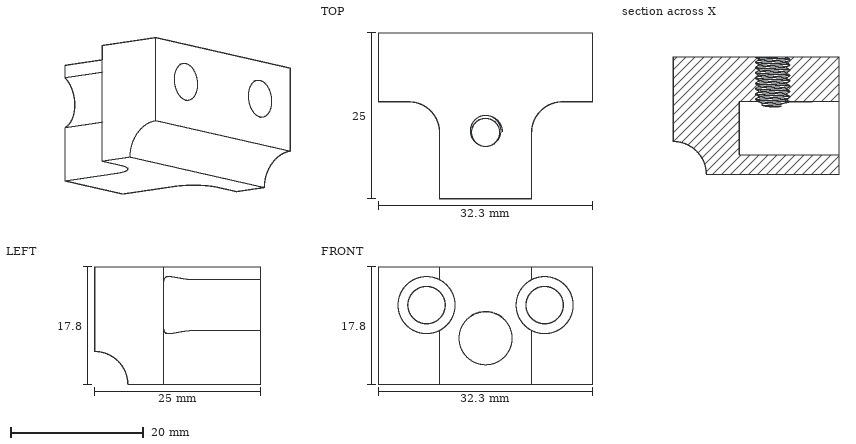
import cadquery as cq
import math


width = 32.3
depth = 25.0
height = 17.75
bar_depth = 10.4
stem_width = 13.9
stem_length = depth - bar_depth
corner_radius = 4.6

relief_radius = 5.0

hole_spacing = 17.8
hole_height = 12.0
hole_diameter = 5.6
head_diameter = 8.6
head_seat_thickness = 5.0
head_seat_y = depth - head_seat_thickness

bore_diameter = 8.0
bore_height = 7.0
bore_depth = 15.0

thread_y = 10.0
thread_minor_diameter = 4.23
thread_major_diameter = 5.12
thread_pitch = 0.8
thread_turns_below_top = 11
thread_turns_above_top = 1
thread_crest_width = thread_pitch / 4
flank_half_angle = 30.0
profile_overlap = 0.1


def make_block():
    """T-shaped block with concave quarter rounds where the stem meets the bar."""
    half_width = width / 2
    half_stem = stem_width / 2
    arc_start_y = stem_length - corner_radius
    arc_end_x = half_stem + corner_radius
    arc_mid_offset = corner_radius * (1 - math.sqrt(0.5))
    arc_mid_x = half_stem + arc_mid_offset
    arc_mid_y = stem_length - arc_mid_offset
    return (
        cq.Workplane("XY")
        .moveTo(-half_stem, 0)
        .lineTo(half_stem, 0)
        .lineTo(half_stem, arc_start_y)
        .threePointArc((arc_mid_x, arc_mid_y), (arc_end_x, stem_length))
        .lineTo(half_width, stem_length)
        .lineTo(half_width, depth)
        .lineTo(-half_width, depth)
        .lineTo(-half_width, stem_length)
        .lineTo(-arc_end_x, stem_length)
        .threePointArc((-arc_mid_x, arc_mid_y), (-half_stem, arc_start_y))
        .close()
        .extrude(height)
    )


def cylinder_along_y(diameter, length, x, z):
    """Cylinder that starts at the front plane and runs toward the back."""
    return cq.Workplane("XZ").center(x, z).circle(diameter / 2).extrude(-length)


def make_relief():
    """Cylinder along X, centred on the lower back edge."""
    return (
        cq.Workplane("YZ")
        .center(depth, 0)
        .circle(relief_radius)
        .extrude(width / 2, both=True)
    )


def make_thread_core():
    """Plain hole at the minor diameter, from the bore axis up through the top."""
    return (
        cq.Workplane("XY", origin=(0, thread_y, bore_height))
        .circle(thread_minor_diameter / 2)
        .extrude(height - bore_height)
    )


def make_thread_groove():
    """Right-hand helical groove whose centre meets the top face on the +Y side."""
    minor_radius = thread_minor_diameter / 2
    major_radius = thread_major_diameter / 2
    inner_radius = minor_radius - profile_overlap
    flank_slope = math.tan(math.radians(flank_half_angle))
    mouth_half = (thread_pitch - thread_crest_width) / 2
    root_half = mouth_half - (major_radius - minor_radius) * flank_slope
    inner_half = mouth_half + profile_overlap * flank_slope
    turns = thread_turns_below_top + thread_turns_above_top
    start_z = height - thread_turns_below_top * thread_pitch
    helix = cq.Wire.makeHelix(thread_pitch, turns * thread_pitch, minor_radius)
    groove = (
        cq.Workplane("XZ")
        .moveTo(inner_radius, -inner_half)
        .lineTo(major_radius, -root_half)
        .lineTo(major_radius, root_half)
        .lineTo(inner_radius, inner_half)
        .close()
        .sweep(cq.Workplane(helix), isFrenet=True)
    )
    return groove.rotate((0, 0, 0), (0, 0, 1), 90).translate((0, thread_y, start_z))


result = make_block().cut(make_relief())

for side in (-1, 1):
    hole_x = side * hole_spacing / 2
    result = result.cut(cylinder_along_y(hole_diameter, depth, hole_x, hole_height))
    result = result.cut(cylinder_along_y(head_diameter, head_seat_y, hole_x, hole_height))

result = result.cut(cylinder_along_y(bore_diameter, bore_depth, 0, bore_height))
result = result.cut(make_thread_core())
result = result.cut(make_thread_groove())